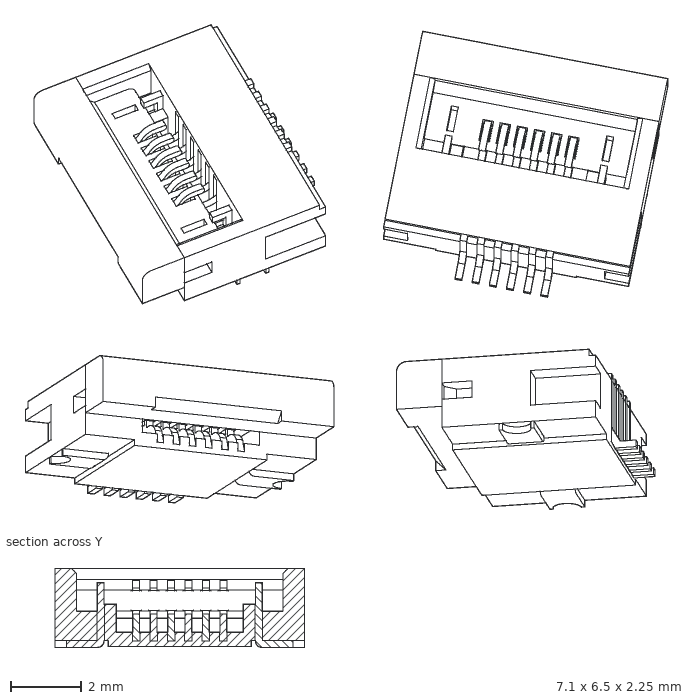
import cadquery as cq
import math


WIDTH = 7.1
HEIGHT = 2.25
SLIDER_DEPTH = 1.32
HOUSING_REAR = 5.79
TAIL_END = 6.5

SIDE_BOTTOM = 0.2
CENTER_BOTTOM = 0.03
CENTER_WIDTH = 4.075
CAVITY_WIDTH = 5.865
CAVITY_REAR = 3.4
CAVITY_FLOOR = 1.04
RIM_CHAMFER = 0.15
CABLE_SLOT_WIDTH = 3.61
CABLE_SLOT_FLOOR = 0.44
LEDGE_FRONT = 2.92
LEDGE_TOP = 1.235
REAR_STEP = 0.19
WINDOW_REAR = 2.195
WINDOW_BOTTOM = 1.045
WINDOW_TOP = 1.535
REAR_POCKET_FRONT = 3.89
REAR_POCKET_BOTTOM = 0.69
REAR_POCKET_TOP = 1.725
REAR_POCKET_DEPTH = 0.695

SLIDER_BOTTOM = 0.83
SLIDER_ROUND = 0.3
LEAD_IN_WIDTH = 3.88
CABLE_CHAMFER = 0.3
TONGUE_THICKNESS = 0.595
GUSSET = 0.3
HOOK_SLOT_WIDTH = 0.3
HOOK_SLOT_FRONT = 2.11
HOOK_SLOT_REAR = 2.71
HOLD_DOWN_SLOT_FRONT = 1.895

CONTACT_COUNT = 6
CONTACT_PITCH = 0.5
CONTACT_WIDTH = 0.2
BEAM_BOTTOM = SIDE_BOTTOM
BEAM_NOSE_TOP = 0.58
BEAM_NOSE_REAR = 1.46
BEAM_TOP = 0.945
CROTCH_START = 3.125
CROTCH_RADIUS = 0.64
HOOK_TOP = 1.9
HOOK_THICKNESS = 0.21
HOOK_REAR = 3.03
HOOK_CREST_FRONT = 2.685
POST_REAR = 2.26
TAIL_THICKNESS = 0.2
TAIL_BEND = 6.05
TAIL_HEEL = 5.88
TAIL_ROOT_TOP = 0.63

BLADE_OFFSET = 2.25
BLADE_THICKNESS = 0.2
FOOT_FRONT = 2.98
FOOT_LENGTH = 1.015
FOOT_NOTCH_RADIUS = 0.405
FOOT_BEND_RADIUS = 0.185
BLADE_LEG_FRONT = 3.22
BLADE_ARM_FRONT = 2.8
BLADE_ARM_BOTTOM = 1.6
BLADE_TOP = 1.845

TONGUE_END = LEDGE_FRONT
FOOT_REAR = FOOT_FRONT + FOOT_LENGTH
TONGUE_TOP = CAVITY_FLOOR + TONGUE_THICKNESS
TONGUE_ROUND = TONGUE_THICKNESS / 2
TONGUE_ROUND_START = TONGUE_END - TONGUE_ROUND
STEP_FLOOR = HEIGHT - REAR_STEP
STEP_FRONT = HOUSING_REAR - REAR_STEP
BLADE_OUTER = BLADE_OFFSET + BLADE_THICKNESS / 2
BLADE_INNER = BLADE_OFFSET - BLADE_THICKNESS / 2


def block(x0, x1, y0, y1, z0, z1):
    """Box between two corners."""
    return cq.Workplane("XY").box(x1 - x0, y1 - y0, z1 - z0, centered=False).translate((x0, y0, z0))


def centered_block(width, y0, y1, z0, z1):
    """Box centered on X = 0."""
    return block(-width / 2, width / 2, y0, y1, z0, z1)


def side_sketch():
    """Workplane whose sketch axes are Y and Z."""
    return cq.Workplane("YZ")


def both_sides(right):
    """The given right-hand (+X) shape together with its mirror image."""
    return right.union(right.mirror("YZ"))


def contact_positions():
    first = -CONTACT_PITCH * (CONTACT_COUNT - 1) / 2
    return [first + index * CONTACT_PITCH for index in range(CONTACT_COUNT)]


def make_contact(x):
    """Flat spring contact: beam in the floor, hook over the slider tongue, upright base, solder tail."""
    hook_bend = (2.26, 1.66)
    upper_middle = (2.44, 1.84)
    lower_middle = (2.19, 1.57)
    hook_foot = (HOOK_SLOT_FRONT, 1.52)
    nose_middle = (1.68, 0.77)
    nose_crest = (1.96, SLIDER_BOTTOM)
    inner_middle = (2.47, 1.66)
    inner_bend = (2.315, 1.535)
    post_rear_top = 1.35
    hook_round = HOOK_THICKNESS / 2
    hook_bottom = HOOK_TOP - HOOK_THICKNESS
    crotch_rear = CROTCH_START + CROTCH_RADIUS
    cos_45 = math.sqrt(0.5)
    crotch_middle = (
        CROTCH_START + CROTCH_RADIUS * cos_45,
        BEAM_TOP + CROTCH_RADIUS * (1 - cos_45),
    )
    profile = (
        side_sketch()
        .moveTo(SLIDER_DEPTH, BEAM_BOTTOM)
        .lineTo(BEAM_NOSE_REAR, BEAM_NOSE_TOP)
        .threePointArc(nose_middle, nose_crest)
        .lineTo(HOOK_SLOT_FRONT, SLIDER_BOTTOM)
        .lineTo(*hook_foot)
        .threePointArc(lower_middle, hook_bend)
        .threePointArc(upper_middle, (HOOK_CREST_FRONT, HOOK_TOP))
        .lineTo(HOOK_REAR - hook_round, HOOK_TOP)
        .threePointArc((HOOK_REAR, HOOK_TOP - hook_round), (HOOK_REAR - hook_round, hook_bottom))
        .lineTo(HOOK_CREST_FRONT, hook_bottom)
        .threePointArc(inner_middle, inner_bend)
        .lineTo(POST_REAR, post_rear_top)
        .lineTo(POST_REAR, BEAM_TOP)
        .lineTo(CROTCH_START, BEAM_TOP)
        .threePointArc(crotch_middle, (crotch_rear, BEAM_TOP + CROTCH_RADIUS))
        .lineTo(crotch_rear, STEP_FLOOR)
        .lineTo(STEP_FRONT, STEP_FLOOR)
        .lineTo(STEP_FRONT, HEIGHT)
        .lineTo(HOUSING_REAR, HEIGHT)
        .lineTo(HOUSING_REAR, TAIL_ROOT_TOP)
        .lineTo(TAIL_BEND, TAIL_THICKNESS)
        .lineTo(TAIL_END, TAIL_THICKNESS)
        .lineTo(TAIL_END, 0)
        .lineTo(TAIL_HEEL, 0)
        .lineTo(HOUSING_REAR, BEAM_BOTTOM)
        .close()
    )
    return profile.extrude(CONTACT_WIDTH).translate((x - CONTACT_WIDTH / 2, 0, 0))


def make_right_hold_down():
    """Bent plate: upright blade with an arm over the tongue, and a notched solder foot."""
    blade = (
        side_sketch()
        .moveTo(FOOT_FRONT, 0)
        .lineTo(FOOT_REAR, 0)
        .lineTo(FOOT_REAR, BLADE_TOP)
        .lineTo(BLADE_ARM_FRONT, BLADE_TOP)
        .lineTo(BLADE_ARM_FRONT, BLADE_ARM_BOTTOM)
        .lineTo(BLADE_LEG_FRONT, BLADE_ARM_BOTTOM)
        .lineTo(BLADE_LEG_FRONT, CAVITY_FLOOR)
        .lineTo(FOOT_FRONT, CAVITY_FLOOR)
        .close()
        .extrude(BLADE_THICKNESS)
        .translate((BLADE_INNER, 0, 0))
    )
    foot = block(BLADE_INNER, WIDTH / 2, FOOT_FRONT, FOOT_REAR, 0, SIDE_BOTTOM)
    notch = (
        cq.Workplane("XY")
        .center(WIDTH / 2, FOOT_FRONT + FOOT_LENGTH / 2)
        .circle(FOOT_NOTCH_RADIUS)
        .extrude(SIDE_BOTTOM)
    )
    plate = blade.union(foot.cut(notch))
    bend_edge = cq.selectors.NearestToPointSelector((BLADE_INNER, FOOT_FRONT + FOOT_LENGTH / 2, 0))
    return plate.edges(bend_edge).fillet(FOOT_BEND_RADIUS)


def make_cavity():
    """Top opening that holds the tongue, with a sloped rim along both sides."""
    half = CAVITY_WIDTH / 2
    cavity = centered_block(CAVITY_WIDTH, SLIDER_DEPTH, CAVITY_REAR, CAVITY_FLOOR, HEIGHT)
    rim = (
        cq.Workplane("XZ")
        .polyline([
            (-half, HEIGHT - RIM_CHAMFER),
            (half, HEIGHT - RIM_CHAMFER),
            (half + RIM_CHAMFER, HEIGHT),
            (-half - RIM_CHAMFER, HEIGHT),
        ])
        .close()
        .extrude(SLIDER_DEPTH - CAVITY_REAR)
        .translate((0, SLIDER_DEPTH, 0))
    )
    ledge = block(CABLE_SLOT_WIDTH / 2, BLADE_INNER, LEDGE_FRONT, CAVITY_REAR, CAVITY_FLOOR, LEDGE_TOP)
    return cavity.union(rim).cut(both_sides(ledge))


def make_housing(hold_downs):
    body = centered_block(WIDTH, SLIDER_DEPTH, HOUSING_REAR, SIDE_BOTTOM, HEIGHT)
    base = centered_block(CENTER_WIDTH, SLIDER_DEPTH, HOUSING_REAR, CENTER_BOTTOM, SIDE_BOTTOM)
    body = body.union(base).cut(make_cavity())

    cable_slot = centered_block(CABLE_SLOT_WIDTH, SLIDER_DEPTH, CAVITY_REAR, CABLE_SLOT_FLOOR, LEDGE_TOP)
    rear_step = centered_block(WIDTH, STEP_FRONT, HOUSING_REAR, STEP_FLOOR, HEIGHT)
    window = block(CAVITY_WIDTH / 2, WIDTH / 2, SLIDER_DEPTH, WINDOW_REAR, WINDOW_BOTTOM, WINDOW_TOP)
    rear_pocket = block(
        WIDTH / 2 - REAR_POCKET_DEPTH, WIDTH / 2,
        REAR_POCKET_FRONT, HOUSING_REAR,
        REAR_POCKET_BOTTOM, REAR_POCKET_TOP,
    )
    body = body.cut(cable_slot).cut(rear_step).cut(both_sides(window)).cut(both_sides(rear_pocket))

    for x in contact_positions():
        slot = centered_block(CONTACT_WIDTH, SLIDER_DEPTH, HOUSING_REAR, BEAM_BOTTOM, STEP_FLOOR)
        body = body.cut(slot.translate((x, 0, 0)))
    for hold_down in hold_downs:
        body = body.cut(hold_down)
    return body


def make_tongue():
    """Plate behind the slider bar with a rounded nose, braced at the bar on top and at the sides."""
    half = CAVITY_WIDTH / 2
    plate = centered_block(CAVITY_WIDTH, SLIDER_DEPTH, TONGUE_ROUND_START, CAVITY_FLOOR, TONGUE_TOP)
    nose = (
        side_sketch()
        .center(TONGUE_ROUND_START, CAVITY_FLOOR + TONGUE_ROUND)
        .circle(TONGUE_ROUND)
        .extrude(half, both=True)
    )
    plate = plate.union(nose)
    top_gusset = (
        side_sketch()
        .polyline([
            (SLIDER_DEPTH, TONGUE_TOP),
            (SLIDER_DEPTH + GUSSET, TONGUE_TOP),
            (SLIDER_DEPTH, TONGUE_TOP + GUSSET),
        ])
        .close()
        .extrude(half, both=True)
    )
    side_gusset = (
        cq.Workplane("XY")
        .polyline([
            (half, SLIDER_DEPTH),
            (half + GUSSET, SLIDER_DEPTH),
            (half, SLIDER_DEPTH + GUSSET),
        ])
        .close()
        .extrude(WINDOW_TOP - WINDOW_BOTTOM)
        .translate((0, 0, WINDOW_BOTTOM))
    )
    tongue = plate.union(top_gusset).union(both_sides(side_gusset))

    for x in contact_positions():
        slot = centered_block(HOOK_SLOT_WIDTH, HOOK_SLOT_FRONT, HOOK_SLOT_REAR, CAVITY_FLOOR, TONGUE_TOP)
        tongue = tongue.cut(slot.translate((x, 0, 0)))
    hold_down_slot = block(
        BLADE_INNER, BLADE_OUTER,
        HOLD_DOWN_SLOT_FRONT, TONGUE_ROUND_START,
        CAVITY_FLOOR, TONGUE_TOP,
    )
    return tongue.cut(both_sides(hold_down_slot))


def make_slider():
    bar = centered_block(WIDTH, 0, SLIDER_DEPTH, SLIDER_BOTTOM, HEIGHT)
    bar = bar.edges("<Y and >Z").fillet(SLIDER_ROUND)
    cable_lead_in = (
        side_sketch()
        .polyline([(0, SLIDER_BOTTOM), (0, SLIDER_BOTTOM + CABLE_CHAMFER), (CABLE_CHAMFER, SLIDER_BOTTOM)])
        .close()
        .extrude(LEAD_IN_WIDTH / 2, both=True)
    )
    return bar.cut(cable_lead_in).union(make_tongue())


contacts = [make_contact(x) for x in contact_positions()]
right_hold_down = make_right_hold_down()
hold_downs = [right_hold_down, right_hold_down.mirror("YZ")]
housing = make_housing(hold_downs)
slider = make_slider()

result = cq.Compound.makeCompound([
    housing.solids().val(),
    slider.solids().val(),
    *[contact.val() for contact in contacts],
    *[hold_down.val() for hold_down in hold_downs],
])